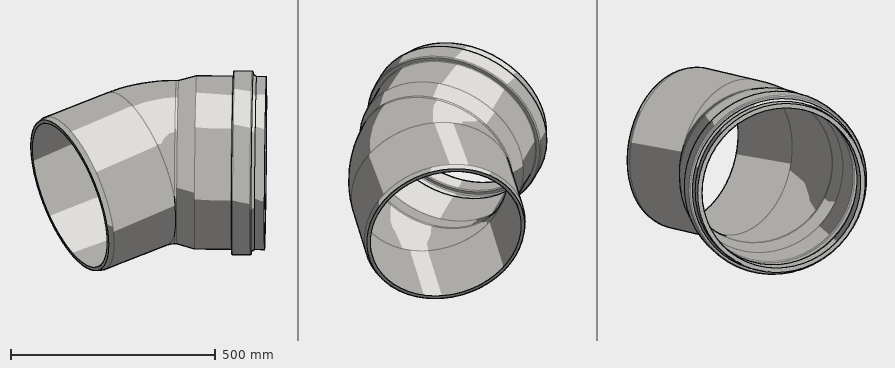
import cadquery as cq
import math

pipe_radius = 400.5 / 2
pipe_bore_radius = 375.5 / 2
spigot_chamfer_length = 13.0
spigot_chamfer_depth = 4.0

bend_angle = 30.0
bend_radius = 188.0

wall = 11.3
bell_radius = 424.7 / 2
bell_bore_radius = bell_radius - wall
ring_radius = 450.3 / 2
groove_radius = ring_radius - wall
lip_radius = 424.3 / 2
lip_bore_radius = lip_radius - wall
lip_cone_radius = 217.0

collar_length = 6.0
cone_end = 49.5
bore_collar_length = 4.5
bore_cone_end = 52.0
ring_start = 140.0
ring_end = 188.0
lip_start = 196.5
groove_start = 152.5
groove_end = 182.5
edge_round = 3.0
ring_root_round = 1.5

overall_x = 519.33
overall_y = 578.58
sin_bend = math.sin(math.radians(bend_angle))
cos_bend = math.cos(math.radians(bend_angle))
bend_reach_x = bend_radius * (1 - cos_bend)
bend_reach_y = bend_radius * sin_bend
socket_length = (overall_x - pipe_radius - bend_reach_x - lip_radius * cos_bend) / sin_bend
spigot_length = overall_y - bend_reach_y - socket_length * cos_bend - lip_radius * sin_bend


def revolve_about_y(profile):
    """Close an outline of (radius, distance) and revolve it about the Y axis."""
    return profile.close().revolve(360, (0, 0), (0, 1))


def at_bend_end(body):
    """Tilt a body from the start of the bend to its end."""
    return body.rotate((bend_radius, 0, 0), (bend_radius, 0, 1), -bend_angle)


def spigot_body():
    """Straight pipe end with a chamfered mouth, ending at the bend at Y = 0."""
    profile = (
        cq.Workplane("XY")
        .moveTo(0, -spigot_length)
        .lineTo(pipe_radius - spigot_chamfer_depth, -spigot_length)
        .lineTo(pipe_radius, spigot_chamfer_length - spigot_length)
        .lineTo(pipe_radius, 0)
        .lineTo(0, 0)
    )
    return revolve_about_y(profile)


def spigot_bore():
    """Straight bore through the spigot."""
    return cq.Workplane("XZ").circle(pipe_bore_radius).extrude(spigot_length)


def bend_sweep(radius):
    """Solid bend of a pipe section, cut off where the section would cross the bend axis."""
    section = cq.Sketch().circle(radius)
    if radius > bend_radius:
        past_axis = cq.Sketch().rect(2 * radius, 2 * radius).moved(cq.Location((bend_radius + radius, 0, 0)))
        section = section.face(past_axis, mode="s")
    return (
        cq.Workplane("XZ")
        .placeSketch(section)
        .revolve(bend_angle, (bend_radius, 1), (bend_radius, 0))
    )


def socket_body():
    """Outside of the socket: collar, cone, bell, rounded seal ring and lip."""
    profile = (
        cq.Workplane("XY")
        .lineTo(pipe_radius, 0)
        .lineTo(pipe_radius, collar_length)
        .lineTo(bell_radius, cone_end)
        .lineTo(bell_radius, ring_start - ring_root_round)
        .radiusArc((bell_radius + ring_root_round, ring_start), ring_root_round)
        .lineTo(ring_radius - edge_round, ring_start)
        .radiusArc((ring_radius, ring_start + edge_round), -edge_round)
        .lineTo(ring_radius, ring_end - edge_round)
        .radiusArc((ring_radius - edge_round, ring_end), -edge_round)
        .lineTo(lip_cone_radius, ring_end)
        .lineTo(lip_radius, lip_start)
        .lineTo(lip_radius, socket_length)
        .lineTo(0, socket_length)
    )
    return at_bend_end(revolve_about_y(profile))


def socket_bore():
    """Inside of the socket: cone, bell bore, rounded seal groove and lip bore."""
    profile = (
        cq.Workplane("XY")
        .lineTo(pipe_bore_radius, 0)
        .lineTo(pipe_bore_radius, bore_collar_length)
        .lineTo(bell_bore_radius, bore_cone_end)
        .lineTo(bell_bore_radius, groove_start - edge_round)
        .radiusArc((bell_bore_radius + edge_round, groove_start), edge_round)
        .lineTo(groove_radius - edge_round, groove_start)
        .radiusArc((groove_radius, groove_start + edge_round), -edge_round)
        .lineTo(groove_radius, groove_end - edge_round)
        .radiusArc((groove_radius - edge_round, groove_end), -edge_round)
        .lineTo(lip_bore_radius + edge_round, groove_end)
        .radiusArc((lip_bore_radius, groove_end + edge_round), edge_round)
        .lineTo(lip_bore_radius, socket_length)
        .lineTo(0, socket_length)
    )
    return at_bend_end(revolve_about_y(profile))


outside = spigot_body().union(bend_sweep(pipe_radius)).union(socket_body())
passage = spigot_bore().union(bend_sweep(pipe_bore_radius)).union(socket_bore())
result = outside.cut(passage)